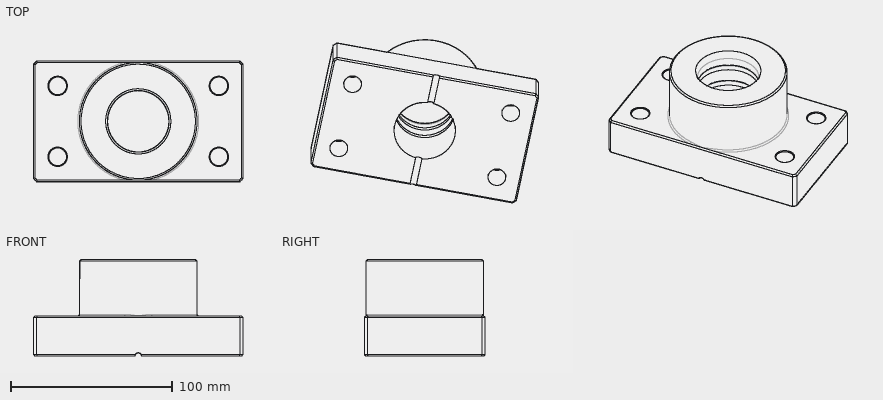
import cadquery as cq

BASE_LENGTH = 130.0
BASE_WIDTH = 75.0
BASE_HEIGHT = 25.0
CORNER_CHAMFER = 2.0
EDGE_CHAMFER = 1.0

TOTAL_HEIGHT = 60.0
BOSS_EDGE_CLEARANCE = 0.005
BOSS_DIAMETER = BASE_WIDTH - 2 * (EDGE_CHAMFER + BOSS_EDGE_CLEARANCE)
BOSS_CHAMFER = 1.0
BOSS_FILLET = 1.0

BORE_DIAMETER = 38.0
LEAD_IN_DIAMETER = 40.5
LEAD_IN_DEPTH = 5.0
BORE_GROOVE_RADIUS = 1.75
BORE_GROOVE_PITCH = 12.0
BORE_GROOVE_COUNT = 2

HOLE_DIAMETER = 11.0
HOLE_SPACING_X = 100.0
HOLE_SPACING_Y = 44.0
HOLE_CHAMFER = 0.5

CHANNEL_RADIUS = 2.0


def make_base():
    """Rectangular plate with chamfered corners and edges."""
    plate = cq.Workplane("XY").box(BASE_LENGTH, BASE_WIDTH, BASE_HEIGHT, centered=(True, True, False))
    plate = plate.edges("|Z").chamfer(CORNER_CHAMFER)
    return plate.faces("<Z or >Z").edges().chamfer(EDGE_CHAMFER)


def add_boss(base):
    """Boss with a chamfered top rim and a fillet where it meets the base."""
    boss = cq.Workplane("XY").circle(BOSS_DIAMETER / 2).extrude(TOTAL_HEIGHT).faces(">Z").chamfer(BOSS_CHAMFER)
    joined = base.union(boss)
    root_edge = joined.edges("%CIRCLE").edges("<Z")
    return root_edge.fillet(BOSS_FILLET)


def make_bore():
    """Solid to remove for the bore, its lead-in cone and its grooves."""
    bore_radius = BORE_DIAMETER / 2
    bore = cq.Workplane("XY").circle(bore_radius).extrude(TOTAL_HEIGHT)
    lead_in = cq.Solid.makeCone(
        bore_radius, LEAD_IN_DIAMETER / 2, LEAD_IN_DEPTH, cq.Vector(0, 0, TOTAL_HEIGHT - LEAD_IN_DEPTH))
    bore = bore.union(cq.Workplane(lead_in))
    for index in range(BORE_GROOVE_COUNT):
        groove_height = TOTAL_HEIGHT - (index + 1) * BORE_GROOVE_PITCH
        groove = cq.Solid.makeTorus(bore_radius, BORE_GROOVE_RADIUS, cq.Vector(0, 0, groove_height))
        bore = bore.union(cq.Workplane(groove))
    return bore


def make_mounting_holes():
    """Four through holes, each with a chamfered mouth on the top face."""
    hole = cq.Workplane("XY").circle(HOLE_DIAMETER / 2).extrude(BASE_HEIGHT)
    mouth = cq.Solid.makeCone(
        HOLE_DIAMETER / 2,
        HOLE_DIAMETER / 2 + HOLE_CHAMFER,
        HOLE_CHAMFER,
        cq.Vector(0, 0, BASE_HEIGHT - HOLE_CHAMFER))
    chamfered_hole = hole.union(cq.Workplane(mouth)).val()
    return cq.Workplane("XY").rarray(HOLE_SPACING_X, HOLE_SPACING_Y, 2, 2).eachpoint(chamfered_hole, combine=False)


def make_channel():
    """Cylinder along Y that leaves a half-round channel in the underside."""
    return cq.Workplane("XZ").circle(CHANNEL_RADIUS).extrude(BASE_WIDTH / 2, both=True)


body = add_boss(make_base())
result = body.cut(make_bore()).cut(make_mounting_holes()).cut(make_channel()).solids()